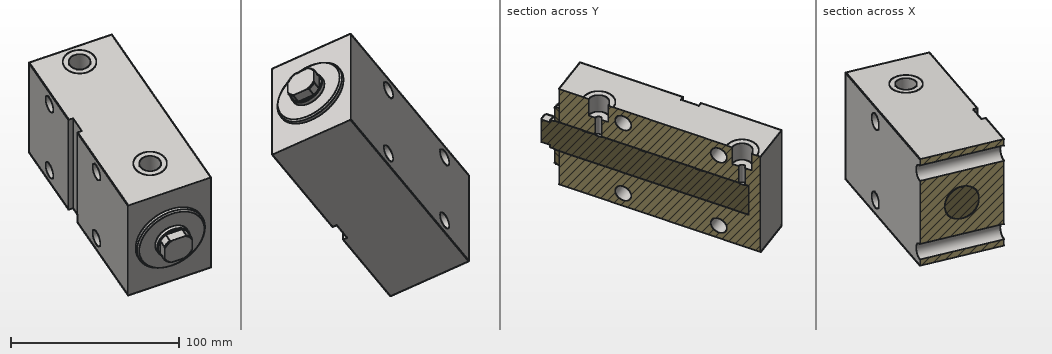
import cadquery as cq


block_length = 135.0
block_width = 55.0
block_height = 75.0
edge_break = 0.3

groove_start = 54.0
groove_width = 12.0
groove_depth = 3.0

mount_diameter = 10.5
mount_edge_distance = 10.0
mount_x_positions = (28.0, 92.0)
mount_z_positions = (mount_edge_distance, block_height - mount_edge_distance)

port_x_positions = (12.5, 108.5)
port_seat_diameter = 20.0
port_seat_depth = 0.1
port_diameter = 13.0
port_depth = 13.0
oil_hole_diameter = 4.0

gland_diameter = 45.0
gland_thickness = 3.0
gland_chamfer = 1.0

rod_diameter = 22.0
rod_chamfer = 0.5
rod_step = 3.0
rod_start = 8.0
rod_shoulder = block_length + gland_thickness + rod_step
wrench_diameter = 21.0
wrench_across_flats = 18.0
wrench_length = 6.0
wrench_chamfer = 0.5

axis_y = block_width / 2
axis_z = block_height / 2


def rod_axis_cylinder(diameter, start, end):
    """Cylinder on the rod axis between two X positions."""
    plane = cq.Workplane("YZ", origin=(start, axis_y, axis_z))
    return plane.circle(diameter / 2).extrude(end - start)


def drill_down(x, diameter, depth):
    """Vertical cutter that enters the top face at x."""
    plane = cq.Workplane("XY", origin=(x, axis_y, block_height))
    return plane.circle(diameter / 2).extrude(-depth)


def make_block():
    block = cq.Workplane("XY").box(block_length, block_width, block_height, centered=False)
    block = block.edges("|X").chamfer(edge_break)

    groove = cq.Workplane("XY").box(groove_width, groove_depth, block_height, centered=False)
    block = block.cut(groove.translate((groove_start, 0, 0)))

    mount_points = [(x, z) for x in mount_x_positions for z in mount_z_positions]
    mounts = cq.Workplane("XZ").pushPoints(mount_points).circle(mount_diameter / 2)
    block = block.cut(mounts.extrude(-block_width))

    for x in port_x_positions:
        block = block.cut(drill_down(x, port_seat_diameter, port_seat_depth))
        block = block.cut(drill_down(x, port_diameter, port_depth))
        block = block.cut(drill_down(x, oil_hole_diameter, block_height - axis_z))

    return block.cut(rod_axis_cylinder(rod_diameter, rod_start, block_length))


def make_gland():
    gland_end = block_length + gland_thickness
    gland = rod_axis_cylinder(gland_diameter, block_length, gland_end)
    gland = gland.faces(">X").chamfer(gland_chamfer)
    return gland.cut(rod_axis_cylinder(rod_diameter, block_length, gland_end))


def make_rod():
    rod = rod_axis_cylinder(rod_diameter, rod_start, rod_shoulder)
    rod = rod.faces(">X").chamfer(rod_chamfer)

    rod_end = rod_shoulder + wrench_length
    wrench = rod_axis_cylinder(wrench_diameter, rod_shoulder, rod_end)
    wrench = wrench.faces(">X").chamfer(wrench_chamfer)
    square = cq.Workplane("YZ", origin=(rod_shoulder, axis_y, axis_z))
    square = square.rect(wrench_across_flats, wrench_across_flats).extrude(wrench_length)
    return rod.union(wrench.intersect(square))


block = make_block()
gland = make_gland()
rod = make_rod()

result = cq.Compound.makeCompound([block.val(), gland.val(), rod.val()])